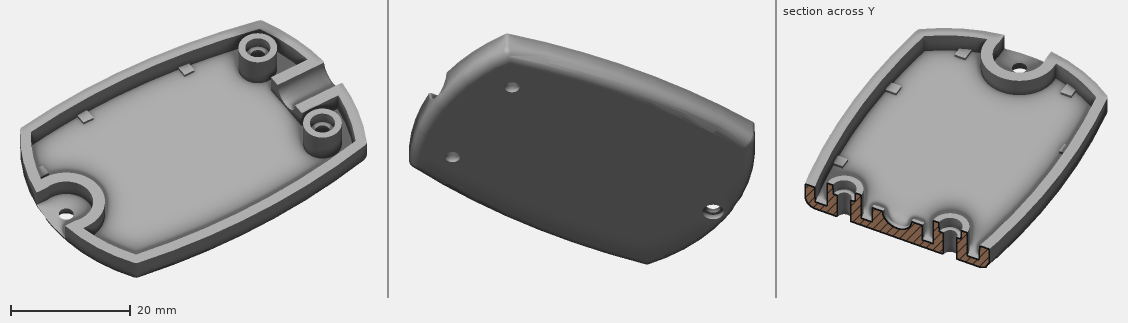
import cadquery as cq
top_apex_y = 28.39
bottom_apex_y = -28.39
half_width = 19.565
widest_y = -1.9
upper_corner = (16.45, 24.4)
lower_corner = (17.95, -22.6)
corner_radius = 0.8
rim_z = 5.0
wall = 2.0
floor_z = 1.7
draft_angle = 3.0
bottom_fillet = 1.99

boss_x = 10.0
boss_y = 19.66
boss_diameter = 6.5
boss_top_z = 7.0
boss_bore_diameter = 4.0
boss_bore_depth = 2.0
screw_diameter = 2.5

entry_width = 9.5
entry_inner_y = 18.9
groove_radius = 2.7
groove_flare = 0.5

recess_y = -25.0
recess_radius = 4.5
mouth_half_width = 4.4
recess_floor_z = 1.85
recess_outer_radius = recess_radius + wall
underside_bore_diameter = 3.6
underside_bore_depth = 1.0

tab_size = 2.0
tab_height = 0.5
upper_tab = (15.1, 9.35)
lower_tab = (15.35, -10.65)
end_tab = (10.0, -23.6)
tab_root = 1.0


def mirror_x(point):
    return (-point[0], point[1])


def outline(z):
    """Barrel-shaped outline made of four arcs."""
    return (
        cq.Workplane("XY", origin=(0, 0, z))
        .moveTo(*mirror_x(upper_corner))
        .threePointArc((0, top_apex_y), upper_corner)
        .threePointArc((half_width, widest_y), lower_corner)
        .threePointArc((0, bottom_apex_y), mirror_x(lower_corner))
        .threePointArc((-half_width, widest_y), mirror_x(upper_corner))
        .close()
    )


def cylinder(x, y, diameter, z_low, z_high):
    return (
        cq.Workplane("XY", origin=(x, y, z_low))
        .circle(diameter / 2)
        .extrude(z_high - z_low)
    )


def box(x_low, x_high, y_low, y_high, z_low, z_high):
    return (
        cq.Workplane("XY", origin=(x_low, y_low, z_low))
        .box(x_high - x_low, y_high - y_low, z_high - z_low, centered=False)
    )


def make_body():
    body = outline(0).extrude(rim_z)
    body = body.edges("|Z").fillet(corner_radius)
    return body.faces("<Z").edges().fillet(bottom_fillet)


def make_cavity():
    """Inside of the shell, with walls drafted so it widens towards the rim."""
    floor_outline = outline(floor_z).offset2D(-wall, "intersection")
    return floor_outline.extrude(rim_z - floor_z, taper=-draft_angle)


def make_entry_block():
    half = entry_width / 2
    return box(-half, half, entry_inner_y, top_apex_y, floor_z, rim_z)


def make_recess_wall():
    wall_ring = cylinder(0, recess_y, 2 * recess_outer_radius, floor_z, rim_z)
    sides = box(-recess_outer_radius, recess_outer_radius, bottom_apex_y, recess_y, floor_z, rim_z)
    return wall_ring.union(sides)


def make_recess():
    pocket = cylinder(0, recess_y, 2 * recess_radius, recess_floor_z, rim_z)
    mouth = box(
        -mouth_half_width, mouth_half_width, bottom_apex_y - wall, recess_y, recess_floor_z, rim_z
    )
    return pocket.union(mouth)


def make_recess_screw_hole():
    """Through hole in the recess floor, counterbored from the underside."""
    hole = cylinder(0, recess_y, screw_diameter, 0, recess_floor_z)
    return hole.union(cylinder(0, recess_y, underside_bore_diameter, 0, underside_bore_depth))


def make_groove():
    """Half-round cable groove that flares at the outer edge."""
    flare_y = top_apex_y - groove_flare
    flare_radius = groove_radius + groove_flare
    return (
        cq.Workplane("XY", origin=(0, 0, rim_z))
        .moveTo(0, entry_inner_y - wall)
        .lineTo(groove_radius, entry_inner_y - wall)
        .lineTo(groove_radius, flare_y)
        .radiusArc((flare_radius, top_apex_y), groove_flare)
        .lineTo(0, top_apex_y)
        .close()
        .revolve(360, (0, 0, 0), (0, 1, 0))
    )


def make_tabs():
    tabs = cq.Workplane("XY")
    half = tab_size / 2
    low, high = floor_z, floor_z + tab_height
    for inner, y in (upper_tab, lower_tab):
        outer = inner + tab_size + tab_root
        tabs = tabs.union(box(inner, outer, y - half, y + half, low, high))
        tabs = tabs.union(box(-outer, -inner, y - half, y + half, low, high))
    x, y = end_tab
    for center_x in (-x, x):
        tabs = tabs.union(
            box(center_x - half, center_x + half, y - half - tab_root, y + half, low, high)
        )
    return tabs


def make_boss(x):
    """Screw boss with a drafted counterbore, standing on the floor."""
    boss = cylinder(x, boss_y, boss_diameter, floor_z, boss_top_z)
    counterbore = (
        cq.Workplane("XY", origin=(x, boss_y, boss_top_z - boss_bore_depth))
        .circle(boss_bore_diameter / 2)
        .extrude(boss_bore_depth, taper=-draft_angle)
    )
    return boss.cut(counterbore)


body = make_body()
inner_features = make_entry_block().union(make_recess_wall()).union(make_tabs()).intersect(body)
result = body.cut(make_cavity()).union(inner_features)
result = result.cut(make_groove()).cut(make_recess()).cut(make_recess_screw_hole())

for boss_center_x in (-boss_x, boss_x):
    result = result.union(make_boss(boss_center_x))
    result = result.cut(cylinder(boss_center_x, boss_y, screw_diameter, 0, boss_top_z))